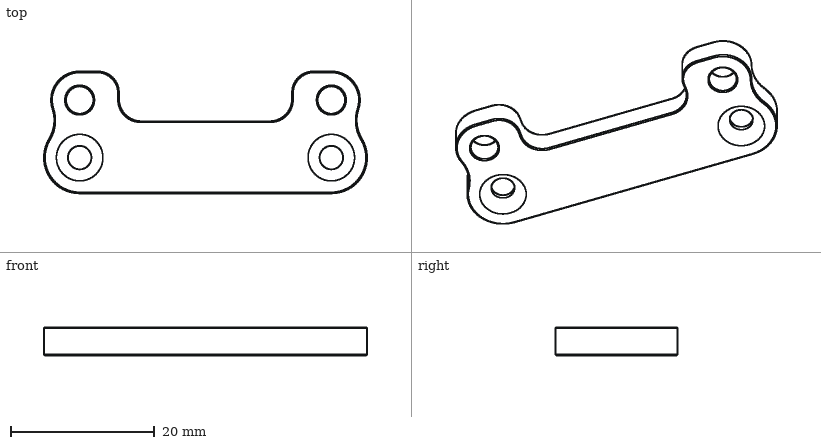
import cadquery as cq
import math

length = 45.0
thickness = 4.0
base_radius = 5.0
ear_radius = 4.0
row_spacing = 8.0
waist_radius = 5.0
ear_inner_width = 5.5
ear_corner_radius = 3.0
notch_corner_radius = 3.0
web_height = 10.1
edge_chamfer = 0.2
chamfer_angle = 90.0

screw_diameter = 3.25
countersink_diameter = 6.5
countersink_angle = 90.0
ear_hole_diameter = 3.8

hole_x = length / 2 - base_radius
base_y = base_radius
ear_y = base_y + row_spacing
top_y = ear_y + ear_radius
notch_x = hole_x - ear_inner_width


def waist_center():
    """Centre of the arc that touches both the base end and the ear from outside."""
    to_base = base_radius + waist_radius
    to_ear = ear_radius + waist_radius
    rise = (to_base**2 - to_ear**2 + row_spacing**2) / (2 * row_spacing)
    return hole_x + math.sqrt(to_base**2 - rise**2), base_y + rise


def toward(start, end, distance):
    """Point at a given distance from start on the line to end."""
    ratio = distance / math.dist(start, end)
    return tuple(a + (b - a) * ratio for a, b in zip(start, end))


def half_plate():
    """Right half of the plate, its straight side on the symmetry plane."""
    base = (hole_x, base_y)
    ear = (hole_x, ear_y)
    waist = waist_center()
    base_tangent = toward(base, waist, base_radius)
    ear_tangent = toward(ear, waist, ear_radius)
    waist_y = (base_tangent[1] + ear_tangent[1]) / 2
    waist_mid = toward(waist, (hole_x, waist_y), waist_radius)
    half = (
        cq.Workplane("XY")
        .lineTo(hole_x, 0)
        .threePointArc((length / 2, base_y), base_tangent)
        .threePointArc(waist_mid, ear_tangent)
        .threePointArc((hole_x + ear_radius, ear_y), (hole_x, top_y))
        .lineTo(notch_x, top_y)
        .lineTo(notch_x, web_height)
        .lineTo(0, web_height)
        .close()
        .extrude(thickness)
    )
    ear_corner = cq.selectors.NearestToPointSelector((notch_x, top_y, thickness / 2))
    notch_corner = cq.selectors.NearestToPointSelector((notch_x, web_height, thickness / 2))
    half = half.edges(ear_corner).fillet(ear_corner_radius)
    return half.edges(notch_corner).fillet(notch_corner_radius)


def hole_cutter(hole_diameter, mouth_diameter, mouth_angle):
    """Through hole along Z with the same conical mouth at both faces."""
    radius = hole_diameter / 2
    mouth_radius = mouth_diameter / 2
    cone_depth = (mouth_radius - radius) / math.tan(math.radians(mouth_angle / 2))
    return (
        cq.Workplane("XZ")
        .lineTo(mouth_radius, 0)
        .lineTo(radius, cone_depth)
        .lineTo(radius, thickness - cone_depth)
        .lineTo(mouth_radius, thickness)
        .lineTo(0, thickness)
        .close()
        .revolve(360, (0, 0, 0), (0, 1, 0))
    )


right_half = half_plate()
plate = right_half.union(right_half.mirror("YZ")).clean()
plate = plate.faces("<Z or >Z").edges().chamfer(edge_chamfer)

screw_hole = hole_cutter(screw_diameter, countersink_diameter, countersink_angle)
ear_hole = hole_cutter(ear_hole_diameter, ear_hole_diameter + 2 * edge_chamfer, chamfer_angle)
for x in (-hole_x, hole_x):
    plate = plate.cut(screw_hole.translate((x, base_y, 0)))
    plate = plate.cut(ear_hole.translate((x, ear_y, 0)))

result = plate